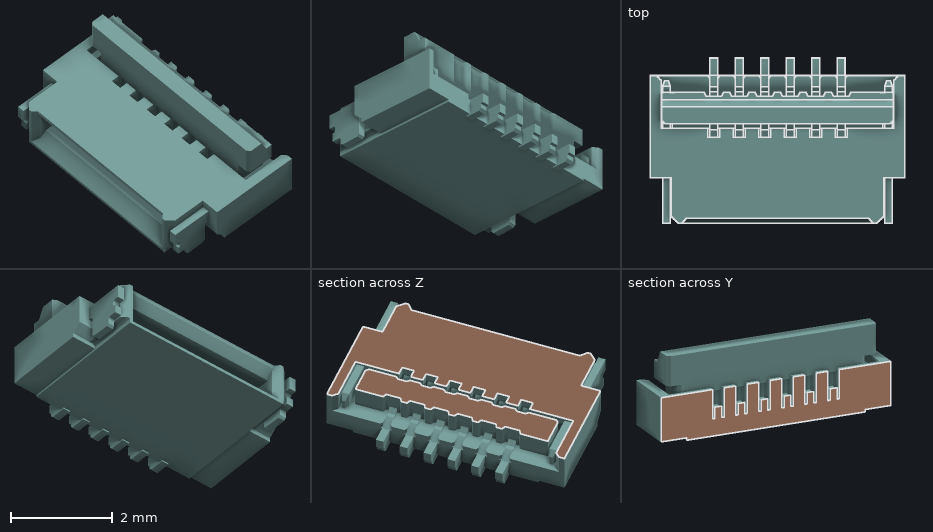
import cadquery as cq


width = 5.0
housing_length = 2.905
housing_top = 1.01
keel_half_width = 1.945
keel_bottom = 0.03
wing_bottom = 0.08
wing_front = 0.895
wing_heel = 1.09
wing_slope_top = 0.34
ledge_height = 0.18
ledge_bevel_width = 0.04
ledge_bevel_height = 0.045
nose_half_width = 2.09
nose_chamfer_length = 0.14

mouth_half_width = 1.88
mouth_bottom = 0.1
cavity_half_width = 1.765
cavity_floor = 0.31
cavity_ceiling = 0.715
cavity_depth = 1.5
back_step_height = 0.03
back_step_length = 0.1
side_lead_length = 0.13
floor_lead_length = 0.29
roof_setback = 0.1
roof_edge_height = 0.925
roof_lead_end = 0.26

recess_front = 1.87
recess_half_width = 2.285
recess_floor = 0.475
recess_flare = 0.095
tab_groove_inner = 2.07
tab_groove_floor = 0.4

bar_front = 1.955
bar_rear = 2.575
bar_top = 1.77
bar_ledge_height = 1.515
bar_slope_foot = 2.425
bar_slope_head = 2.295
bar_half_width = 2.275
bar_end_bottom = 1.14
stem_half_width = 2.025
bar_corner_width = 0.075
stem_corner_width = 0.06
bar_corner_length = 0.055
bar_notch_depth = 0.08
bar_notch_half_mouth = 0.19
bar_notch_half_base = 0.15
foot_notch_top = 0.91
foot_notch_depth = 0.05
foot_notch_half_mouth = 0.14
foot_notch_half_base = foot_notch_half_mouth - foot_notch_depth

contact_count = 6
contact_pitch = 0.5
contact_width = 0.16
contact_rear = 3.25
tail_top = 0.365
tail_heel_height = 0.165
tail_step_rear = 3.195
tail_step_height = 0.145
tail_toe_chamfer = 0.055
tail_front = 2.81
tail_relief_depth = 0.05
tail_relief_top = 0.19
contact_landing_height = 0.5
contact_landing_rear = 2.685
contact_landing_front = 2.59
contact_arm_height = 0.6
contact_arm_rear = 2.475
contact_arm_front = 1.835
contact_tip_height = 0.7
window_front = 1.69
window_half_width = 0.12
window_floor = 0.4
groove_mouth_length = 0.05

tab_inner = 2.105
tab_thickness = 0.15
tab_top = 0.83
tab_underside = 0.525
tab_tip_slope_start = 2.695
tab_tip = 2.805
tab_tip_height = 0.72
tab_tip_inset = 0.04
tab_hook_depth = 0.15
tab_hook_bottom = 0.375
tab_nub_front = 0.085
tab_nub_bottom = 0.19
tab_foot_front = 0.3
tab_foot_rear = 0.795
tab_foot_chamfer = 0.045
tab_sole_length = 0.1
tab_sole_rise = 0.015
tab_hook_radius = 0.05
tab_leg_radius = 0.045

contact_positions = [
    (i - (contact_count - 1) / 2) * contact_pitch for i in range(contact_count)
]


def box(x0, x1, y0, y1, z0, z1):
    return cq.Workplane("XY").box(x1 - x0, y1 - y0, z1 - z0, centered=False).translate((x0, y0, z0))


def side_profile(points, x0, x1):
    """Extrude a closed (y, z) outline from x0 to x1."""
    return cq.Workplane("YZ").workplane(offset=x0).polyline(points).close().extrude(x1 - x0)


def plan_profile(points, z0, z1):
    """Extrude a closed (x, y) outline from z0 to z1."""
    return cq.Workplane("XY").workplane(offset=z0).polyline(points).close().extrude(z1 - z0)


def mirrored(points):
    """Close a right-hand half outline with its mirror image about x = 0."""
    return points + [(-x, v) for x, v in reversed(points)]


def make_housing():
    keel = box(-keel_half_width, keel_half_width, 0, housing_length, keel_bottom, housing_top)
    nose_section = mirrored([
        (keel_half_width, keel_bottom),
        (keel_half_width, ledge_height - ledge_bevel_height),
        (keel_half_width + ledge_bevel_width, ledge_height),
        (nose_half_width, ledge_height),
        (nose_half_width, housing_top),
    ])
    nose = cq.Workplane("XZ").polyline(nose_section).close().extrude(-wing_heel)
    nose_plan = mirrored([
        (keel_half_width, 0),
        (nose_half_width, nose_chamfer_length),
        (nose_half_width, wing_heel),
    ])
    nose = nose.intersect(plan_profile(nose_plan, 0, housing_top))
    wings = side_profile([
        (wing_front, housing_top),
        (wing_front, wing_slope_top),
        (wing_heel, ledge_height),
        (wing_heel, wing_bottom),
        (housing_length, wing_bottom),
        (housing_length, housing_top),
    ], -width / 2, width / 2)
    return keel.union(nose).union(wings)


def make_mouth():
    """Cavity with a sloped lead-in on all sides, open above its front edge."""
    profile = side_profile([
        (0, mouth_bottom),
        (floor_lead_length, cavity_floor),
        (cavity_depth - back_step_length, cavity_floor),
        (cavity_depth - back_step_length, cavity_floor + back_step_height),
        (cavity_depth, cavity_floor + back_step_height),
        (cavity_depth, cavity_ceiling),
        (roof_lead_end, cavity_ceiling),
        (roof_setback, roof_edge_height),
        (roof_setback, housing_top),
        (0, housing_top),
    ], -mouth_half_width, mouth_half_width)
    plan = mirrored([
        (mouth_half_width, 0),
        (cavity_half_width, side_lead_length),
        (cavity_half_width, cavity_depth),
    ])
    return profile.intersect(plan_profile(plan, 0, housing_top))


def make_recess():
    plan = mirrored([
        (recess_half_width, recess_front),
        (recess_half_width, housing_length - recess_flare),
        (recess_half_width + recess_flare, housing_length),
    ])
    recess = plan_profile(plan, recess_floor, housing_top)
    for x0, x1 in ((tab_groove_inner, recess_half_width), (-recess_half_width, -tab_groove_inner)):
        recess = recess.union(box(x0, x1, recess_front, bar_rear, tab_groove_floor, recess_floor))
    return recess


def make_contact_space(x):
    """Window ahead of the bar and rear groove with a flared end for one contact."""
    window = box(x - window_half_width, x + window_half_width,
                 window_front, recess_front, window_floor, housing_top)
    half = contact_width / 2
    flare_start = housing_length - groove_mouth_length
    groove = plan_profile([
        (x - half, bar_rear),
        (x + half, bar_rear),
        (x + half, flare_start),
        (x + window_half_width, housing_length),
        (x - window_half_width, housing_length),
        (x - half, flare_start),
    ], tail_top, recess_floor)
    return window.union(groove)


def make_bar():
    body = side_profile([
        (bar_front, recess_floor),
        (bar_rear, recess_floor),
        (bar_rear, bar_ledge_height),
        (bar_slope_foot, bar_ledge_height),
        (bar_slope_head, bar_top),
        (bar_front, bar_top),
    ], -bar_half_width, bar_half_width)

    def plan(half_width, corner_width, z0, z1):
        return plan_profile(mirrored([
            (half_width - corner_width, bar_front),
            (half_width, bar_front + bar_corner_length),
            (half_width, bar_rear),
        ]), z0, z1)

    stem = plan(stem_half_width, stem_corner_width, recess_floor, bar_end_bottom)
    head = plan(bar_half_width, bar_corner_width, bar_end_bottom, bar_top)
    bar = body.intersect(stem.union(head))
    for x in contact_positions:
        rear_notch = plan_profile([
            (x - bar_notch_half_mouth, bar_rear),
            (x - bar_notch_half_base, bar_rear - bar_notch_depth),
            (x + bar_notch_half_base, bar_rear - bar_notch_depth),
            (x + bar_notch_half_mouth, bar_rear),
        ], recess_floor, bar_top)
        foot_notch = plan_profile([
            (x - foot_notch_half_mouth, bar_front),
            (x - foot_notch_half_base, bar_front + foot_notch_depth),
            (x + foot_notch_half_base, bar_front + foot_notch_depth),
            (x + foot_notch_half_mouth, bar_front),
        ], recess_floor, foot_notch_top)
        bar = bar.cut(rear_notch).cut(foot_notch)
    return bar


def make_contact(x):
    """Solder tail at the rear that rises through the housing to the window."""
    outline = [
        (contact_rear, tail_top),
        (contact_rear, tail_heel_height),
        (tail_step_rear, tail_step_height),
        (tail_step_rear, tail_toe_chamfer),
        (tail_step_rear - tail_toe_chamfer, 0),
        (tail_front, 0),
        (tail_front, wing_bottom),
        (housing_length, wing_bottom),
        (housing_length + tail_relief_depth, (wing_bottom + tail_relief_top) / 2),
        (housing_length, tail_relief_top),
        (tail_front, tail_relief_top),
        (window_front, window_floor),
        (window_front, contact_tip_height),
        (contact_arm_front, contact_arm_height),
        (contact_arm_rear, contact_arm_height),
        (contact_landing_front, contact_landing_height),
        (contact_landing_rear, contact_landing_height),
        (housing_length, tail_top),
    ]
    return side_profile(outline, x - contact_width / 2, x + contact_width / 2)


def make_tab():
    """Right-hand solder tab, a flat plate standing on edge."""
    tab_outer = tab_inner + tab_thickness
    plate = side_profile([
        (0, tab_top),
        (0, tab_foot_chamfer),
        (tab_foot_front, tab_foot_chamfer),
        (tab_foot_front + tab_foot_chamfer, 0),
        (tab_foot_front + tab_foot_chamfer + tab_sole_length, 0),
        (tab_foot_rear - tab_foot_chamfer, tab_sole_rise),
        (tab_foot_rear, tab_sole_rise + tab_foot_chamfer),
        (tab_foot_rear, tab_underside),
        (tab_tip, tab_underside),
        (tab_tip, tab_tip_height),
        (tab_tip_slope_start, tab_top),
    ], tab_inner, tab_outer)
    rear_corner = plate.edges("|X").edges(
        cq.selectors.NearestToPointSelector((tab_inner, tab_foot_rear, tab_underside)))
    plate = rear_corner.fillet(tab_leg_radius)
    hook = box(tab_inner, tab_outer, 0, tab_hook_depth, tab_hook_bottom, tab_underside)
    hook = hook.edges("|X and >Y").fillet(tab_hook_radius)
    nub_face = box(tab_inner, tab_outer, 0, tab_nub_front, 0, tab_hook_bottom)
    under_nub = box(tab_inner, tab_outer, 0, tab_foot_front, 0, tab_nub_bottom)
    under_nub = under_nub.edges("|X and >Y and >Z").fillet(tab_leg_radius)
    plan = plan_profile([
        (tab_inner, 0),
        (tab_outer, 0),
        (tab_outer, tab_tip_slope_start),
        (tab_outer - tab_tip_inset, tab_tip),
        (tab_inner + tab_tip_inset, tab_tip),
        (tab_inner, tab_tip_slope_start),
    ], 0, tab_top)
    return plate.cut(hook).cut(nub_face).cut(under_nub).intersect(plan)


result = make_housing().cut(make_mouth()).cut(make_recess())
for x in contact_positions:
    result = result.cut(make_contact_space(x))
result = result.union(make_bar())
for x in contact_positions:
    result = result.union(make_contact(x))
tab = make_tab()
result = result.union(tab).union(tab.mirror("YZ"))